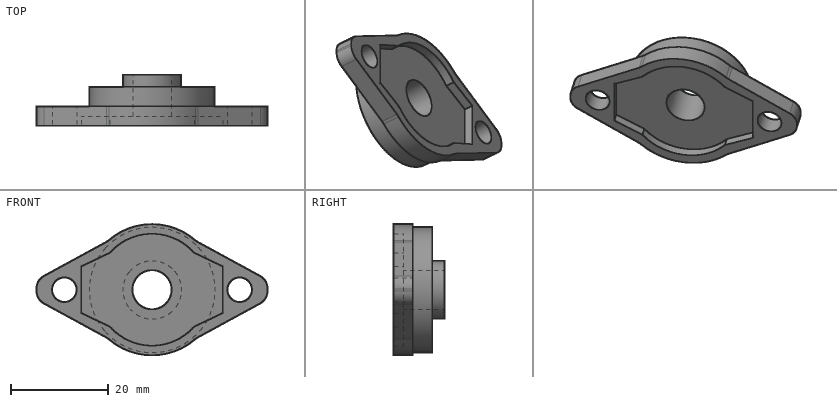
import cadquery as cq
import math

plate_thickness = 4.0
plate_radius = 13.5
plate_length = 47.5
ear_tip_height = 4.0
ear_root_height = 20.0
ear_tip_fillet = 3.0
ear_root_fillet = 3.0

step_radius = 12.9
step_thickness = 4.0
boss_radius = 6.0
boss_length = 2.5

recess_depth = 2.0
recess_radius = 11.5
recess_length = 29.0
recess_end_height = 9.6
recess_shoulder_height = 15.2

bore_diameter = 8.0
mount_hole_diameter = 5.0
mount_hole_spacing = 36.0

total_depth = plate_thickness + step_thickness + boss_length


def section_plane(y):
    """Sketch plane at depth y whose normal points along +Y (local x is -X)."""
    return cq.Workplane(cq.Plane(origin=(0, y, 0), xDir=(-1, 0, 0), normal=(0, 1, 0)))


def eared_disc(radius, length, end_height, shoulder_height, thickness):
    """Disc with straight-sided ears that leave its rim at the shoulder height."""
    end_x = length / 2
    end_z = end_height / 2
    shoulder_z = shoulder_height / 2
    shoulder_x = math.sqrt(radius**2 - shoulder_z**2)
    return (
        section_plane(0)
        .moveTo(end_x, -end_z)
        .lineTo(end_x, end_z)
        .lineTo(shoulder_x, shoulder_z)
        .threePointArc((0, radius), (-shoulder_x, shoulder_z))
        .lineTo(-end_x, end_z)
        .lineTo(-end_x, -end_z)
        .lineTo(-shoulder_x, -shoulder_z)
        .threePointArc((0, -radius), (shoulder_x, -shoulder_z))
        .close()
        .extrude(thickness)
    )


def flange_plate():
    """Front plate with rounded ear tips and blended ear roots."""
    plate = eared_disc(plate_radius, plate_length, ear_tip_height, ear_root_height, plate_thickness)
    plate = plate.edges("|Y and (not (<X or >X))").fillet(ear_root_fillet)
    return plate.edges("|Y and (<X or >X)").fillet(ear_tip_fillet)


def back_steps():
    """Stepped round body behind the plate."""
    step = section_plane(plate_thickness).circle(step_radius).extrude(step_thickness)
    boss = section_plane(plate_thickness + step_thickness).circle(boss_radius).extrude(boss_length)
    return step.union(boss)


def front_recess():
    """Shallow pocket following the plate shape."""
    return eared_disc(recess_radius, recess_length, recess_end_height, recess_shoulder_height, recess_depth)


def through_holes():
    """Central bore and one mounting hole in each ear."""
    bore = section_plane(0).circle(bore_diameter / 2).extrude(total_depth)
    mount_positions = [(side * mount_hole_spacing / 2, 0) for side in (-1, 1)]
    mount_circles = section_plane(0).pushPoints(mount_positions).circle(mount_hole_diameter / 2)
    mounts = mount_circles.extrude(plate_thickness)
    return bore.union(mounts)


result = flange_plate().union(back_steps()).cut(front_recess()).cut(through_holes())